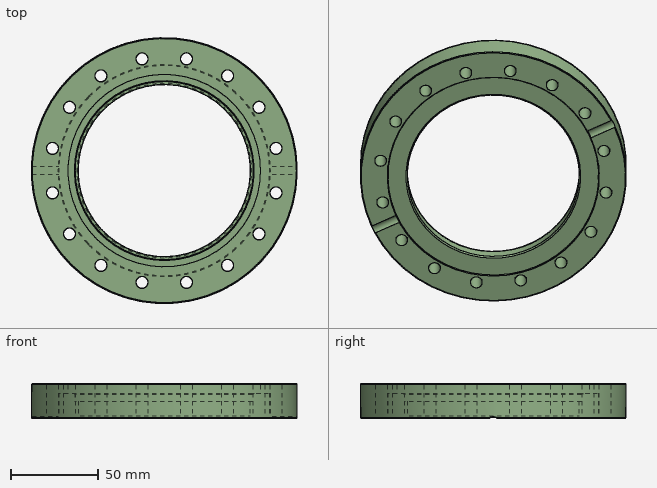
import cadquery as cq


ring_diameter = 152.0
ring_height = 20.0
ring_edge_chamfer = 0.5
ring_opening_diameter = 110.0
ring_seat_diameter = 121.2
ring_lip_thickness = 5.7
seat_height = ring_height - ring_lip_thickness

bolt_count = 16
bolt_hole_diameter = 6.7
bolt_circle_diameter = 130.3
bolt_pitch_angle = 360.0 / bolt_count

groove_radius = 3.0
groove_depth = 1.1

insert_diameter = 120.4
insert_recess = 0.7
insert_height = seat_height - insert_recess
insert_bore_diameter = 98.3
socket_diameter = 101.8
socket_depth = 4.5
socket_chamfer = 0.5
bore_chamfer = 0.8


def make_bolt_ring():
    """Chamfered ring with a lip at the top and a seat for the insert below it."""
    ring = cq.Workplane("XY").circle(ring_diameter / 2).extrude(ring_height)
    ring = ring.edges().chamfer(ring_edge_chamfer)
    opening = cq.Workplane("XY").circle(ring_opening_diameter / 2).extrude(ring_height)
    seat = cq.Workplane("XY").circle(ring_seat_diameter / 2).extrude(seat_height)
    return ring.cut(opening).cut(seat).cut(make_bolt_holes()).cut(make_leak_grooves())


def make_bolt_holes():
    """Through holes on the bolt circle, the first one half a pitch from +X."""
    return (
        cq.Workplane("XY")
        .polarArray(bolt_circle_diameter / 2, bolt_pitch_angle / 2, 360, bolt_count)
        .circle(bolt_hole_diameter / 2)
        .extrude(ring_height)
    )


def make_leak_grooves():
    """One round bar along X, cutting a shallow radial groove on both sides of the ring."""
    bar = cq.Workplane("YZ").center(0, groove_depth - groove_radius).circle(groove_radius)
    return bar.extrude(ring_diameter / 2, both=True)


def make_weld_insert():
    """Bored disc with a tube socket in its top face and chamfers on both inner rims."""
    insert = cq.Workplane("XY", origin=(0, 0, insert_recess))
    insert = insert.circle(insert_diameter / 2).extrude(insert_height)
    insert = insert.faces(">Z").workplane().cboreHole(insert_bore_diameter, socket_diameter, socket_depth)
    inner_rim = cq.selectors.RadiusNthSelector(0)
    insert = insert.faces(">Z").edges(inner_rim).chamfer(socket_chamfer)
    return insert.faces("<Z").edges(inner_rim).chamfer(bore_chamfer)


bolt_ring = make_bolt_ring()
weld_insert = make_weld_insert()

result = cq.Compound.makeCompound([bolt_ring.val(), weld_insert.val()])